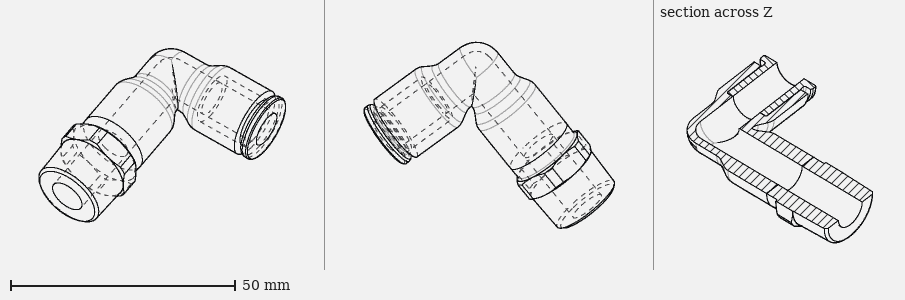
import cadquery as cq
import math


bend_radius = 6.0
port_radius = 8.0
port_end = 22.7
flare_start = 6.95
flare_angle = 30
flare_fillet = 3.0
bore_radius = 8.0 / 2

neck_radius = 5.75
neck_depth = 11.6
flange_back = 24.1
flange_radius = 7.75
sleeve_end = 25.9
neck_fillet = 0.4
back_chamfer_width = 0.6
back_chamfer_height = 0.25
front_chamfer = 0.3

collar_end_radius = 7.95
collar_fillet = 0.4
hex_start = 25.8
hex_end = 30.85
hex_across_flats = 16.98
hex_corner_radius = 18.5 / 2
hex_chamfer_angle = 30
stud_end = 40.5
thread_start_radius = 8.45
thread_taper = 1 / 32
thread_chamfer_length = 0.6
thread_end_face_radius = 7.45


def turned(profile):
    """Revolve an (axial, radius) profile about the X axis."""
    return profile.close().revolve(360, (0, 0, 0), (1, 0, 0))


def along_stud(body):
    """Swing a body built along +X round to lie along -Y."""
    return body.rotate((0, 0, 0), (0, 0, 1), -90)


def elbow_branch():
    """One solid branch along +X: bend pipe, filleted flare and port."""
    flare_length = (port_radius - bend_radius) / math.tan(math.radians(flare_angle))
    flare_end = flare_start + flare_length
    branch = turned(
        cq.Workplane("XY")
        .lineTo(0, bend_radius)
        .lineTo(flare_start, bend_radius)
        .lineTo(flare_end, port_radius)
        .lineTo(port_end, port_radius)
        .lineTo(port_end, 0)
    )
    port_diameter = 2 * port_radius
    flare_middle = (flare_start + flare_end) / 2
    around_flare = cq.selectors.BoxSelector(
        (flare_middle - flare_length, -port_diameter, -port_diameter),
        (flare_middle + flare_length, port_diameter, port_diameter),
    )
    return branch.edges("%CIRCLE").edges(around_flare).fillet(flare_fillet)


def bore(length):
    """Flow passage along +X from the bend centre."""
    return cq.Workplane("YZ").circle(bore_radius).extrude(length)


def make_elbow():
    outside = cq.Workplane("XY").sphere(bend_radius)
    outside = outside.union(elbow_branch()).union(along_stud(elbow_branch()))
    passage = cq.Workplane("XY").sphere(bore_radius)
    passage = passage.union(bore(port_end)).union(along_stud(bore(port_end)))
    sleeve_seat = (
        cq.Workplane("YZ")
        .workplane(offset=port_end - neck_depth)
        .circle(neck_radius)
        .extrude(neck_depth)
    )
    return outside.cut(passage).cut(sleeve_seat)


def make_release_sleeve():
    """Flanged sleeve whose neck fills the recess in the +X port."""
    neck_start = port_end - neck_depth
    fillet_mid = neck_fillet * math.sin(math.pi / 4)
    fillet_centre = (flange_back - neck_fillet, neck_radius + neck_fillet)
    return turned(
        cq.Workplane("XY")
        .moveTo(neck_start, bore_radius)
        .lineTo(neck_start, neck_radius)
        .lineTo(fillet_centre[0], neck_radius)
        .threePointArc(
            (fillet_centre[0] + fillet_mid, fillet_centre[1] - fillet_mid),
            (flange_back, fillet_centre[1]),
        )
        .lineTo(flange_back, flange_radius - back_chamfer_height)
        .lineTo(flange_back + back_chamfer_width, flange_radius)
        .lineTo(sleeve_end - front_chamfer, flange_radius)
        .lineTo(sleeve_end, flange_radius - front_chamfer)
        .lineTo(sleeve_end, bore_radius)
    )


def stud_hexagon():
    """Hexagon with a corner along Z, its corners turned round and chamfered at both ends."""
    across_corners = hex_across_flats / math.cos(math.pi / 6)
    hexagon = (
        cq.Workplane("YZ")
        .workplane(offset=hex_start)
        .transformed(rotate=(0, 0, 90))
        .polygon(6, across_corners)
        .extrude(hex_end - hex_start)
    )
    end_radius = hex_across_flats / 2
    chamfer_length = (hex_corner_radius - end_radius) * math.tan(math.radians(hex_chamfer_angle))
    envelope = turned(
        cq.Workplane("XY")
        .moveTo(hex_start, 0)
        .lineTo(hex_start, end_radius)
        .lineTo(hex_start + chamfer_length, hex_corner_radius)
        .lineTo(hex_end - chamfer_length, hex_corner_radius)
        .lineTo(hex_end, end_radius)
        .lineTo(hex_end, 0)
    )
    return hexagon.intersect(envelope)


def make_stud():
    """Collar, hexagon and tapered thread blank, butted against the -Y port."""
    fillet_start = hex_start - collar_fillet
    fillet_mid = collar_fillet * math.sin(math.pi / 4)
    collar = turned(
        cq.Workplane("XY")
        .moveTo(port_end, 0)
        .lineTo(port_end, port_radius)
        .lineTo(fillet_start, collar_end_radius)
        .threePointArc(
            (fillet_start + fillet_mid, collar_end_radius + collar_fillet - fillet_mid),
            (hex_start, collar_end_radius + collar_fillet),
        )
        .lineTo(hex_start, 0)
    )
    chamfer_start = stud_end - thread_chamfer_length
    thread_end_radius = thread_start_radius - thread_taper * (chamfer_start - hex_end)
    thread = turned(
        cq.Workplane("XY")
        .moveTo(hex_end, 0)
        .lineTo(hex_end, thread_start_radius)
        .lineTo(chamfer_start, thread_end_radius)
        .lineTo(stud_end, thread_end_face_radius)
        .lineTo(stud_end, 0)
    )
    stud = collar.union(stud_hexagon()).union(thread).cut(bore(stud_end))
    return along_stud(stud)


elbow = make_elbow()
release_sleeve = make_release_sleeve()
stud = make_stud()

bodies = [elbow, release_sleeve, stud]
result = cq.Compound.makeCompound([body.solids().val() for body in bodies])